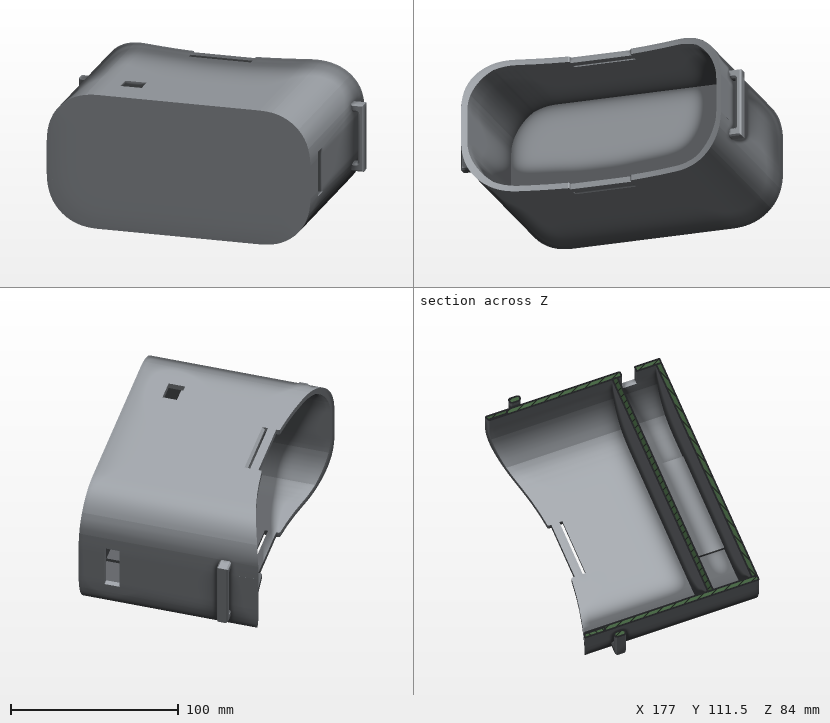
import cadquery as cq

WIDTH = 164.0
HEIGHT = 84.0
DEPTH = 111.49
WALL = 3.5
HALF_WIDTH = WIDTH / 2
HALF_HEIGHT = HEIGHT / 2

ARC_STARTS_AT = (50.2, HALF_HEIGHT)
SHOULDER_POINT = (58.0, 41.345)
CORNER_POINT = (74.5, 32.25)
CHEEK_POINT = (80.65, 20.8)
SIDE_FLAT_STARTS_AT = (HALF_WIDTH, 10.35)

INNER_HALF_WIDTH = HALF_WIDTH - WALL
INNER_HALF_HEIGHT = HALF_HEIGHT - WALL
INNER_ARC_STARTS_AT = (50.2, INNER_HALF_HEIGHT)
INNER_CREASE_POINT = (64.0, 35.6)
INNER_CORNER_POINT = (71.7, 28.6)
INNER_CHEEK_POINT = (76.8, 19.7)
INNER_SIDE_FLAT_STARTS_AT = (INNER_HALF_WIDTH, 10.35)

FACE_RADIUS = 209.0

NOTCH_WIDTH = 38.4
NOTCH_FLOOR_Y = 93.4
NOTCH_CORNER_RADIUS = 1.0
SLOT_REAR_Y = 88.3
SLOT_FRONT_Y = 86.4
SLOT_LIP_CHAMFER = 1.6

LOOP_SPAN = 177.0
LOOP_HEIGHT = 42.0
LOOP_FRONT_Y = 87.2
LOOP_REAR_Y = 94.2
LOOP_EDGE_CHAMFER = 0.9
LOOP_SLOT_OUTER_X = 84.8
LOOP_SLOT_HEIGHT = 32.0
LOOP_SLOT_CORNER_RADIUS = 0.8
LOOP_RIM_CHAMFER = 1.2

WINDOW_LEFT_X = -42.2
WINDOW_WIDTH = 13.1
WINDOW_FRONT_Y = 20.2
WINDOW_DEPTH = 10.2

PORT_FRONT_Y = 16.0
PORT_LENGTH = 9.3
PORT_HEIGHT = 28.0

PLATE_FRONT_Y = 28.0
PLATE_THICKNESS = WALL
LID_THICKNESS = WALL
LEDGE_WIDTH = 67.6
LEDGE_HEIGHT = 2.0

PAD_HEIGHT = 24.0
PAD_FRONT_Y = 98.1
PAD_THICKNESS = 2.5

CLEARANCE = 5.0


def box(x_range, y_range, z_range):
    """Box between two limits along each axis."""
    lows, highs = zip(x_range, y_range, z_range)
    sizes = [high - low for low, high in zip(lows, highs)]
    return cq.Workplane("XY").box(*sizes, centered=False).translate(lows)


def outer_block(y_front, y_rear):
    """Solid with the outer profile between two depths."""
    quarter = (
        cq.Workplane("XZ", origin=(0, y_front, 0))
        .moveTo(0, HALF_HEIGHT)
        .lineTo(*ARC_STARTS_AT)
        .tangentArcPoint(SHOULDER_POINT, relative=False)
        .tangentArcPoint(CORNER_POINT, relative=False)
        .tangentArcPoint(CHEEK_POINT, relative=False)
        .tangentArcPoint(SIDE_FLAT_STARTS_AT, relative=False)
        .lineTo(HALF_WIDTH, 0)
    )
    return quarter.mirrorX().mirrorY().extrude(y_front - y_rear)


def inner_block(y_front, y_rear):
    """Solid with the cavity profile between two depths."""
    quarter = (
        cq.Workplane("XZ", origin=(0, y_front, 0))
        .moveTo(0, INNER_HALF_HEIGHT)
        .lineTo(*INNER_ARC_STARTS_AT)
        .tangentArcPoint(INNER_CREASE_POINT, relative=False)
        .threePointArc(INNER_CORNER_POINT, INNER_CHEEK_POINT)
        .tangentArcPoint(INNER_SIDE_FLAT_STARTS_AT, relative=False)
        .lineTo(INNER_HALF_WIDTH, 0)
    )
    return quarter.mirrorX().mirrorY().extrude(y_front - y_rear)


def face_cylinder():
    """Upright cylinder whose front wall is the concave face cut."""
    centre_y = DEPTH + (FACE_RADIUS**2 - HALF_WIDTH**2) ** 0.5
    return (
        cq.Workplane("XY", origin=(0, centre_y, -HALF_HEIGHT - CLEARANCE))
        .circle(FACE_RADIUS)
        .extrude(HEIGHT + 2 * CLEARANCE)
    )


def strap_loop():
    """Strap loop of the +X side, reaching into the shell wall."""
    outer_x = LOOP_SPAN / 2
    half_height = LOOP_HEIGHT / 2
    loop = box(
        (HALF_WIDTH - WALL, outer_x),
        (LOOP_FRONT_Y, LOOP_REAR_Y),
        (-half_height, half_height),
    )
    loop = loop.faces("<Y or >Y").edges("|X or >X").chamfer(LOOP_EDGE_CHAMFER)
    slot_half = LOOP_SLOT_HEIGHT / 2
    slot = box(
        (HALF_WIDTH - WALL, LOOP_SLOT_OUTER_X),
        (LOOP_FRONT_Y, LOOP_REAR_Y),
        (-slot_half, slot_half),
    )
    loop = loop.cut(slot.edges("|Y and >X").fillet(LOOP_SLOT_CORNER_RADIUS))
    margin = LOOP_RIM_CHAMFER / 2
    around_slot = cq.selectors.BoxSelector(
        (HALF_WIDTH - WALL - margin, LOOP_FRONT_Y - margin, -slot_half - margin),
        (LOOP_SLOT_OUTER_X + margin, LOOP_REAR_Y + margin, slot_half + margin),
    )
    return loop.faces("<Y or >Y").edges(around_slot).chamfer(LOOP_RIM_CHAMFER)


def strap_slot():
    """Cutter for the slot through the top and bottom walls, flared at the front lip."""
    half_width = NOTCH_WIDTH / 2
    slot = box(
        (-half_width, half_width),
        (SLOT_FRONT_Y, SLOT_REAR_Y),
        (-HALF_HEIGHT, HALF_HEIGHT),
    )
    lip = SLOT_LIP_CHAMFER
    flare = (
        cq.Workplane("YZ", origin=(-half_width, 0, 0))
        .moveTo(SLOT_FRONT_Y, HALF_HEIGHT)
        .lineTo(SLOT_FRONT_Y - lip, HALF_HEIGHT)
        .lineTo(SLOT_FRONT_Y, HALF_HEIGHT - lip)
        .close()
        .extrude(NOTCH_WIDTH)
    )
    return slot.union(flare).union(flare.mirror("XY"))


def notch_corners():
    """Selector for the edges where the notch meets the face cut."""
    reach_x = NOTCH_WIDTH / 2 + NOTCH_CORNER_RADIUS
    return cq.selectors.BoxSelector(
        (-reach_x, NOTCH_FLOOR_Y + NOTCH_CORNER_RADIUS, -HALF_HEIGHT),
        (reach_x, DEPTH, HALF_HEIGHT),
    )


def pad_block(side):
    """Block of one side pad before the face cut; side is +1 for +X and -1 for -X."""
    x_range = sorted((side * HALF_WIDTH, side * (HALF_WIDTH - PAD_THICKNESS)))
    return box(x_range, (PAD_FRONT_Y, DEPTH), (-PAD_HEIGHT / 2, PAD_HEIGHT / 2))


def make_shell():
    shell = outer_block(0, DEPTH)
    loop = strap_loop()
    shell = shell.union(loop).union(loop.mirror("YZ"))
    shell = shell.cut(inner_block(0, DEPTH))
    shell = shell.cut(face_cylinder())

    half_notch = NOTCH_WIDTH / 2
    notch = box((-half_notch, half_notch), (NOTCH_FLOOR_Y, DEPTH), (-HALF_HEIGHT, HALF_HEIGHT))
    window = box(
        (WINDOW_LEFT_X, WINDOW_LEFT_X + WINDOW_WIDTH),
        (WINDOW_FRONT_Y, WINDOW_FRONT_Y + WINDOW_DEPTH),
        (0, HALF_HEIGHT),
    )
    port = box(
        (HALF_WIDTH - WALL - CLEARANCE, HALF_WIDTH),
        (PORT_FRONT_Y, PORT_FRONT_Y + PORT_LENGTH),
        (-PORT_HEIGHT / 2, PORT_HEIGHT / 2),
    )
    shell = shell.cut(notch)
    shell = shell.edges("|Z").edges(notch_corners()).fillet(NOTCH_CORNER_RADIUS)
    shell = shell.cut(strap_slot()).cut(window).cut(port)
    for side in (-1, 1):
        shell = shell.cut(pad_block(side))

    floor_z = WALL - HALF_HEIGHT
    ledge = box(
        (-LEDGE_WIDTH / 2, LEDGE_WIDTH / 2),
        (LID_THICKNESS, PLATE_FRONT_Y),
        (floor_z - WALL / 2, floor_z + LEDGE_HEIGHT),
    )
    return shell.union(ledge)


def make_lid():
    return inner_block(0, LID_THICKNESS)


def make_plate():
    return inner_block(PLATE_FRONT_Y, PLATE_FRONT_Y + PLATE_THICKNESS)


def make_side_pad(side):
    return pad_block(side).cut(face_cylinder())


shell = make_shell()
lid = make_lid()
plate = make_plate()
side_pads = [make_side_pad(side) for side in (-1, 1)]

result = cq.Compound.makeCompound(
    [shell.val(), lid.val(), plate.val(), *[pad.val() for pad in side_pads]]
)